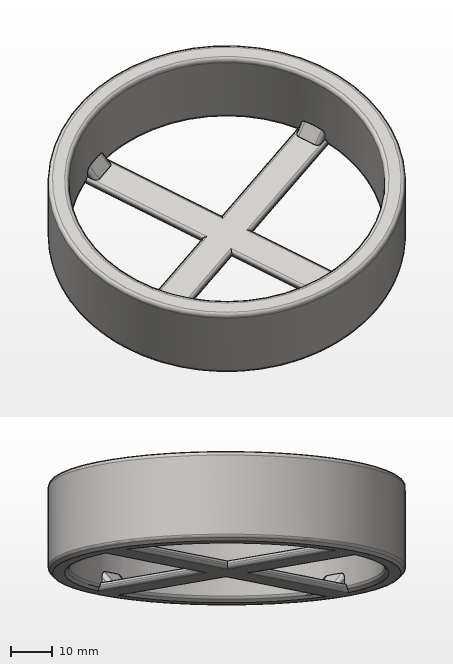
import cadquery as cq

outer_diameter = 86.5
inner_diameter = 76.5
ring_height = 22.0
edge_round = 1.0
bottom_chamfer = 1.0

arm_width = 8.5
arm_thickness = 2.0
arm_round = 0.8

wedge_length = 2.9
wedge_height = 2.9
wedge_round = 1.0

inner_radius = inner_diameter / 2
wall_middle_radius = (outer_diameter + inner_diameter) / 4
wedge_width = arm_width - 2 * arm_round


def make_ring():
    """Tube with a rounded top rim and chamfered bottom edges blended into the walls."""
    ring = cq.Workplane("XY").circle(outer_diameter / 2).circle(inner_diameter / 2).extrude(ring_height)
    ring = ring.faces(">Z").edges().fillet(edge_round)
    ring = ring.faces("<Z").edges().chamfer(bottom_chamfer)
    wall_end_zone = cq.selectors.BoxSelector(
        (-outer_diameter, -outer_diameter, bottom_chamfer / 2),
        (outer_diameter, outer_diameter, bottom_chamfer * 2),
        boundingbox=True,
    )
    return ring.edges("%CIRCLE").edges(wall_end_zone).fillet(edge_round)


def make_cross():
    """Two crossing bars, ending inside the wall, with rounded upper and lower edges."""
    bar_length = 2 * wall_middle_radius
    bar_x = cq.Workplane("XY").rect(bar_length, arm_width).extrude(arm_thickness)
    bar_y = cq.Workplane("XY").rect(arm_width, bar_length).extrude(arm_thickness)
    return bar_x.union(bar_y).faces("|Z").edges().fillet(arm_round)


def make_wedge():
    """Wedge on the +X arm, rising toward the wall, with rounded slope sides."""
    toe_x = inner_radius - wedge_length
    slope = wedge_height / wedge_length
    wedge = (
        cq.Workplane("XZ")
        .moveTo(toe_x, 0)
        .lineTo(wall_middle_radius, 0)
        .lineTo(wall_middle_radius, arm_thickness + slope * (wall_middle_radius - toe_x))
        .lineTo(toe_x, arm_thickness)
        .close()
        .extrude(wedge_width / 2, both=True)
    )
    slope_direction = cq.Vector(-slope, 0, 1)
    slope_face = cq.selectors.DirectionMinMaxSelector(slope_direction, True)
    side_edges = wedge.faces(slope_face).edges("not |Y")
    return side_edges.fillet(wedge_round)


result = make_ring().union(make_cross())
wedge = make_wedge()
for angle in range(0, 360, 90):
    result = result.union(wedge.rotate((0, 0, 0), (0, 0, 1), angle))